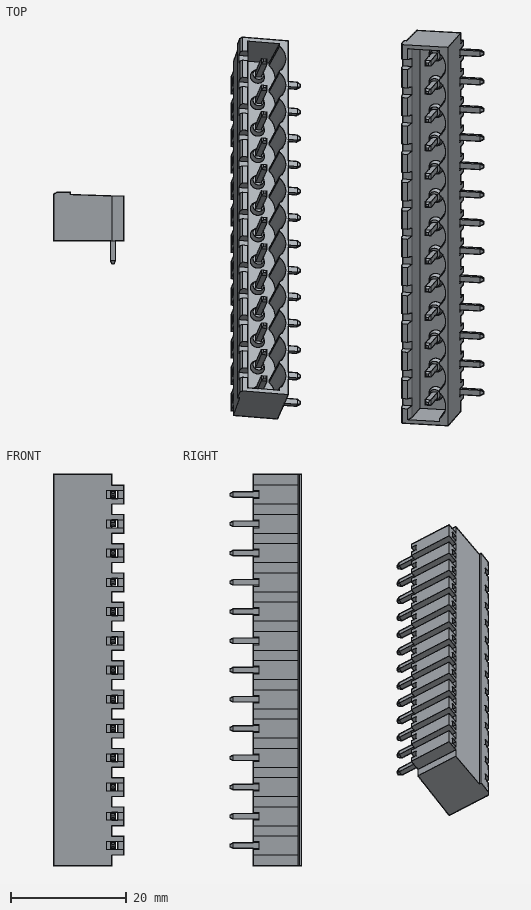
import cadquery as cq

POLES = 13
PITCH = 5.08
END_MARGIN = 3.54
LENGTH = (POLES - 1) * PITCH + 2 * END_MARGIN

BODY_DEPTH = 10.1
BODY_HEIGHT = 8.46
LIP_DROP = 0.35
LIP_LENGTH = 0.6
RIDGE_END = 2.9
RIDGE_STEP = 0.4
BACK_HEIGHT = 7.82

CAVITY_DEPTH = 8.0
END_WALL = 0.7
CEILING = BODY_HEIGHT - 1.65
MOUTH_BEVEL = 0.4
CUSP_MOUTH = BODY_HEIGHT - 6.9
CUSP_FLOOR = BODY_HEIGHT - 6.55
SCALLOP_WIDTH = 4.7
SCALLOP_MOUTH = BODY_HEIGHT - 8.0
SCALLOP_FLOOR = BODY_HEIGHT - 7.6

NOTCH_DEPTH = 1.55
NOTCH_MOUTH_WIDTH = 1.8
NOTCH_FLOOR_WIDTH = 1.4

CONTACT_SIZE = 1.0
PIN_Y = BODY_HEIGHT - 4.5
PIN_START = 1.1
CONTACT_TIP_LENGTH = 0.6
TAIL_TIP_LENGTH = 0.6
TIP_END_SIZE = 0.4
TAIL_X = 10.3
TAIL_THICKNESS = 0.9
TAIL_WIDTH = 1.0
TAIL_LENGTH = 4.04
COLLAR_BASE_DIAMETER = 2.5
COLLAR_TOP_DIAMETER = 1.9
COLLAR_HEIGHT = 1.0

FOOT_END = 12.2
FOOT_WIDTH = 3.3
SLOT_WIDTH = 1.36
SLOT_START = 9.2
SLOT_DEPTH = 1.0
OPENING_END = 11.1

pole_heights = [(i - (POLES - 1) / 2) * PITCH for i in range(POLES)]


def prism_along_z(points, length):
    """Extrude an XY outline symmetrically about Z = 0."""
    return cq.Workplane("XY").polyline(points).close().extrude(length / 2, both=True)


def block(x_range, y_range, z_width, z_center):
    """Box given by its X and Y limits and centred on a Z height."""
    size_x = x_range[1] - x_range[0]
    size_y = y_range[1] - y_range[0]
    box = cq.Workplane("XY").box(size_x, size_y, z_width, centered=(False, False, True))
    return box.translate((x_range[0], y_range[0], z_center))


def make_body():
    """Solid housing with the latch ridge along its upper front edge."""
    section = [
        (0, 0),
        (BODY_DEPTH, 0),
        (BODY_DEPTH, BACK_HEIGHT),
        (RIDGE_END, BODY_HEIGHT - RIDGE_STEP),
        (RIDGE_END, BODY_HEIGHT),
        (LIP_LENGTH, BODY_HEIGHT),
        (0, BODY_HEIGHT - LIP_DROP),
    ]
    return prism_along_z(section, LENGTH)


def make_cavity():
    """Straight part of the cavity, between the end walls and above the scallop cusps."""
    section = [
        (0, CUSP_MOUTH),
        (CAVITY_DEPTH, CUSP_FLOOR),
        (CAVITY_DEPTH, CEILING),
        (NOTCH_DEPTH, CEILING),
        (0, CEILING + MOUTH_BEVEL),
    ]
    return prism_along_z(section, LENGTH - 2 * END_WALL)


def scallop_wire(x, cusp_y, low_y, z):
    """Arc below the cusp line, closed by a rectangle that reaches up into the cavity."""
    half = SCALLOP_WIDTH / 2
    edges = [
        cq.Edge.makeThreePointArc(
            cq.Vector(x, cusp_y, z - half), cq.Vector(x, low_y, z), cq.Vector(x, cusp_y, z + half)
        ),
        cq.Edge.makeLine(cq.Vector(x, cusp_y, z + half), cq.Vector(x, PIN_Y, z + half)),
        cq.Edge.makeLine(cq.Vector(x, PIN_Y, z + half), cq.Vector(x, PIN_Y, z - half)),
        cq.Edge.makeLine(cq.Vector(x, PIN_Y, z - half), cq.Vector(x, cusp_y, z - half)),
    ]
    return cq.Wire.assembleEdges(edges)


def make_scallop(z):
    """Rounded trough under one pole, reaching lower at the mouth than at the floor."""
    mouth = scallop_wire(0, CUSP_MOUTH, SCALLOP_MOUTH, z)
    floor = scallop_wire(CAVITY_DEPTH, CUSP_FLOOR, SCALLOP_FLOOR, z)
    return cq.Workplane(cq.Solid.makeLoft([mouth, floor], True))


def make_notch(z):
    """Tapered gap through the latch wall at the mouth."""
    outline = [
        (0, -NOTCH_MOUTH_WIDTH / 2),
        (NOTCH_DEPTH, -NOTCH_FLOOR_WIDTH / 2),
        (NOTCH_DEPTH, NOTCH_FLOOR_WIDTH / 2),
        (0, NOTCH_MOUTH_WIDTH / 2),
    ]
    notch = cq.Workplane("XZ").polyline(outline).close().extrude(CEILING - BODY_HEIGHT)
    return notch.translate((0, CEILING, z))


def make_foot(z):
    """Stand-off block behind the back wall."""
    return block((BODY_DEPTH, FOOT_END), (0, BACK_HEIGHT), FOOT_WIDTH, z)


def make_foot_slot(z):
    """Shallow slot in the board face and the full-height opening around the tail."""
    slot = block((SLOT_START, FOOT_END), (0, SLOT_DEPTH), SLOT_WIDTH, z)
    opening = block((BODY_DEPTH, OPENING_END), (0, BACK_HEIGHT), SLOT_WIDTH, z)
    return slot.union(opening)


def make_pin(z):
    """Right-angle pin: contact along X, tail along -Y, both with tapered tips."""
    tail_front = TAIL_X - TAIL_THICKNESS / 2
    tail_back = TAIL_X + TAIL_THICKNESS / 2
    half = CONTACT_SIZE / 2
    shank_x = (PIN_START + CONTACT_TIP_LENGTH, tail_back)
    shank = block(shank_x, (PIN_Y - half, PIN_Y + half), CONTACT_SIZE, z)
    contact_tip = (
        cq.Workplane("YZ", origin=(PIN_START, PIN_Y, z))
        .rect(TIP_END_SIZE, TIP_END_SIZE)
        .workplane(offset=CONTACT_TIP_LENGTH)
        .rect(CONTACT_SIZE, CONTACT_SIZE)
        .loft(ruled=True)
    )
    tail = block((tail_front, tail_back), (TAIL_TIP_LENGTH - TAIL_LENGTH, PIN_Y), TAIL_WIDTH, z)
    tail_tip = (
        cq.Workplane("XZ", origin=(TAIL_X, TAIL_TIP_LENGTH - TAIL_LENGTH, z))
        .rect(TAIL_THICKNESS, TAIL_WIDTH)
        .workplane(offset=TAIL_TIP_LENGTH)
        .rect(TIP_END_SIZE, TIP_END_SIZE)
        .loft(ruled=True)
    )
    return shank.union(contact_tip).union(tail).union(tail_tip)


def make_collar(z):
    """Conical collar around the pin on the cavity floor."""
    cone = cq.Solid.makeCone(
        COLLAR_BASE_DIAMETER / 2,
        COLLAR_TOP_DIAMETER / 2,
        COLLAR_HEIGHT,
        cq.Vector(CAVITY_DEPTH, PIN_Y, z),
        cq.Vector(-1, 0, 0),
    )
    return cq.Workplane(cone)


def at_every_pole(make_feature):
    """One copy of a feature per pole, as a list of shapes."""
    return [make_feature(height).val() for height in pole_heights]


cavity_cuts = [make_cavity().val()] + at_every_pole(make_scallop) + at_every_pole(make_notch)
housing = make_body().val().cut(*cavity_cuts)
housing = housing.fuse(*at_every_pole(make_foot)).cut(*at_every_pole(make_foot_slot))
part = housing.fuse(*at_every_pole(make_collar)).fuse(*at_every_pole(make_pin))
result = cq.Workplane(part.clean().Solids()[0])